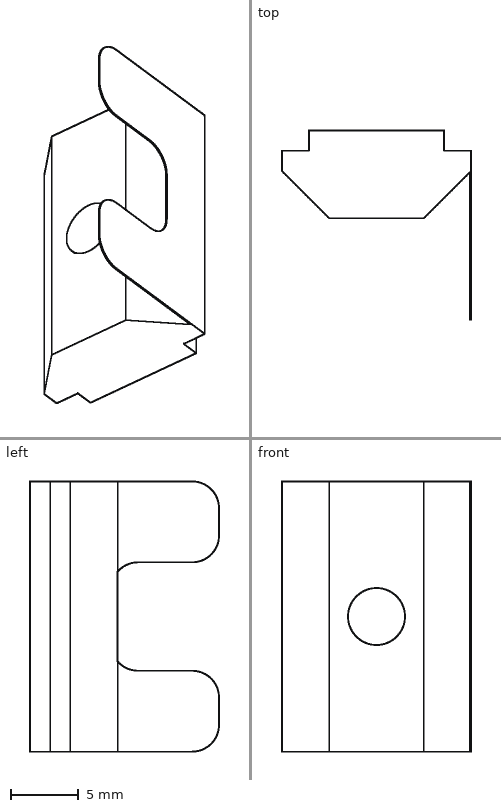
import cadquery as cq

height = 20.0
width = 14.0
depth = 14.0

key_width = 10.0
key_depth = 1.5
shoulder_depth = 1.5
nose_width = 7.0
hole_diameter = 4.2

leaf_thickness = 0.1
arm_height = 6.0
slot_bottom_depth = 6.0
corner_radius = 2.0

back_y = depth / 2
shoulder_y = back_y - key_depth
flank_y = shoulder_y - shoulder_depth
nose_y = flank_y - (width - nose_width) / 2
slot_y = back_y - slot_bottom_depth
tip_y = back_y - depth


def make_body():
    """Symmetric profile extruded along Z, with a central hole along Y."""
    right_side = [
        (key_width / 2, back_y),
        (key_width / 2, shoulder_y),
        (width / 2, shoulder_y),
        (width / 2, flank_y),
        (nose_width / 2, nose_y),
    ]
    left_side = [(-x, y) for x, y in reversed(right_side)]
    body = (
        cq.Workplane("XY", origin=(0, 0, -height / 2))
        .polyline(right_side + left_side)
        .close()
        .extrude(height)
    )
    hole = cq.Workplane("XZ").circle(hole_diameter / 2).extrude(depth, both=True)
    return body.cut(hole)


def make_leaf():
    """U-shaped leaf flush with the +X side, rounded at arm tips and slot corners."""
    slot_half = height / 2 - arm_height
    outline = [
        (flank_y, -height / 2),
        (tip_y, -height / 2),
        (tip_y, -slot_half),
        (slot_y, -slot_half),
        (slot_y, slot_half),
        (tip_y, slot_half),
        (tip_y, height / 2),
        (flank_y, height / 2),
    ]
    leaf = (
        cq.Workplane("YZ", origin=(width / 2 - leaf_thickness, 0, 0))
        .polyline(outline)
        .close()
        .extrude(leaf_thickness)
    )
    return leaf.edges("|X").edges("not >Y").fillet(corner_radius)


result = make_body().union(make_leaf())